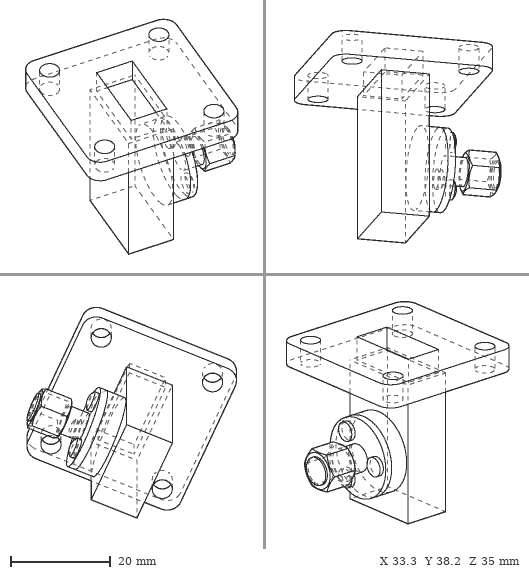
import cadquery as cq
import math

FLANGE_SIDE = 33.3
FLANGE_THICKNESS = 5.0
FLANGE_CORNER_RADIUS = 3.0
BOLT_SPACING_X = 25.25
BOLT_SPACING_Y = 24.3
BOLT_HOLE_DIAMETER = 4.0
WINDOW_X = 15.8
WINDOW_Y = 7.9

TOTAL_HEIGHT = 35.0
BLOCK_X = 17.8
BLOCK_Y = 10.0

OVERALL_LENGTH = 38.25
PORT_Z = -22.0
PORT_RADIUS = 8.53
BOSS_LENGTH = 3.98
PLATE_THICKNESS = 1.55
BARREL_RADIUS = 2.95
BOSS_END_Y = BLOCK_Y / 2 + BOSS_LENGTH
PLATE_END_Y = BOSS_END_Y + PLATE_THICKNESS
TIP_Y = OVERALL_LENGTH - FLANGE_SIDE / 2

NUT_ACROSS_FLATS = 8.0
NUT_LENGTH = 6.45
NUT_FACE_RADIUS = 3.82
NUT_CHAMFER_ANGLE = 30
TIP_PROTRUSION = 0.42
NUT_CORNER_RADIUS = NUT_ACROSS_FLATS / math.sqrt(3)
NUT_END_Y = TIP_Y - TIP_PROTRUSION
NUT_START_Y = NUT_END_Y - NUT_LENGTH

SCREW_COUNT = 3
FIRST_SCREW_ANGLE = math.pi
SCREW_CIRCLE_RADIUS = 5.78
SCREW_HEAD_RADIUS = 2.03
SCREW_RIM_HEIGHT = 0.88
SCREW_DOME_HEIGHT = 0.75


def port_plane(y):
    """Plane across the port axis at y, with its normal along +Y and its local Y along +Z."""
    return cq.Workplane(cq.Plane(origin=(0, y, PORT_Z), xDir=(-1, 0, 0), normal=(0, 1, 0)))


def make_flange():
    """Square plate with rounded corners, four bolt holes and a rectangular window."""
    plate = (
        cq.Workplane("XY")
        .rect(FLANGE_SIDE, FLANGE_SIDE)
        .extrude(-FLANGE_THICKNESS)
        .edges("|Z")
        .fillet(FLANGE_CORNER_RADIUS)
    )
    bolt_holes = (
        cq.Workplane("XY")
        .rect(BOLT_SPACING_X, BOLT_SPACING_Y, forConstruction=True)
        .vertices()
        .circle(BOLT_HOLE_DIAMETER / 2)
        .extrude(-FLANGE_THICKNESS)
    )
    window = cq.Workplane("XY").rect(WINDOW_X, WINDOW_Y).extrude(-FLANGE_THICKNESS)
    return plate.cut(bolt_holes).cut(window)


def make_waveguide():
    """Block under the flange, whose top closes the window, with the round port boss on its +Y side."""
    block = (
        cq.Workplane("XY")
        .workplane(offset=-FLANGE_THICKNESS)
        .rect(BLOCK_X, BLOCK_Y)
        .extrude(FLANGE_THICKNESS - TOTAL_HEIGHT)
    )
    boss = port_plane(BLOCK_Y / 2).circle(PORT_RADIUS).extrude(BOSS_LENGTH)
    return block.union(boss)


def make_nut():
    """Hexagon whose corners are chamfered to a circle at both ends."""
    hexagon = port_plane(NUT_START_Y).polygon(6, 2 * NUT_CORNER_RADIUS).extrude(NUT_LENGTH)
    chamfer_length = (NUT_CORNER_RADIUS - NUT_FACE_RADIUS) * math.tan(math.radians(NUT_CHAMFER_ANGLE))
    envelope = (
        cq.Workplane("XY")
        .moveTo(0, NUT_START_Y)
        .lineTo(NUT_FACE_RADIUS, NUT_START_Y)
        .lineTo(NUT_CORNER_RADIUS, NUT_START_Y + chamfer_length)
        .lineTo(NUT_CORNER_RADIUS, NUT_END_Y - chamfer_length)
        .lineTo(NUT_FACE_RADIUS, NUT_END_Y)
        .lineTo(0, NUT_END_Y)
        .close()
        .revolve(360, (0, 0, 0), (0, 1, 0))
        .translate((0, 0, PORT_Z))
    )
    return hexagon.intersect(envelope)


def make_connector():
    """Round mounting plate, barrel and hexagonal nut in one piece."""
    plate = port_plane(BOSS_END_Y).circle(PORT_RADIUS).extrude(PLATE_THICKNESS)
    barrel = port_plane(BOSS_END_Y).circle(BARREL_RADIUS).extrude(TIP_Y - BOSS_END_Y)
    return plate.union(barrel).union(make_nut())


def make_screw(angle):
    """Domed head seated on the plate, at an angle around the port axis."""
    dome_start_y = PLATE_END_Y + SCREW_RIM_HEIGHT
    dome_end_y = dome_start_y + SCREW_DOME_HEIGHT
    dome_radius = (SCREW_HEAD_RADIUS**2 + SCREW_DOME_HEIGHT**2) / (2 * SCREW_DOME_HEIGHT)
    half_angle = math.asin(SCREW_HEAD_RADIUS / dome_radius) / 2
    dome_middle = (
        dome_radius * math.sin(half_angle),
        dome_end_y - dome_radius * (1 - math.cos(half_angle)),
    )
    head = (
        cq.Workplane("XY")
        .moveTo(0, PLATE_END_Y)
        .lineTo(SCREW_HEAD_RADIUS, PLATE_END_Y)
        .lineTo(SCREW_HEAD_RADIUS, dome_start_y)
        .threePointArc(dome_middle, (0, dome_end_y))
        .close()
        .revolve(360, (0, 0, 0), (0, 1, 0))
    )
    offset_x = SCREW_CIRCLE_RADIUS * math.cos(angle)
    offset_z = SCREW_CIRCLE_RADIUS * math.sin(angle)
    return head.translate((offset_x, 0, PORT_Z + offset_z))


flange = make_flange()
waveguide = make_waveguide()
connector = make_connector()
screws = [
    make_screw(FIRST_SCREW_ANGLE + 2 * math.pi * i / SCREW_COUNT)
    for i in range(SCREW_COUNT)
]

result = cq.Compound.makeCompound(
    [flange.val(), waveguide.val(), connector.val(), *[screw.val() for screw in screws]]
)